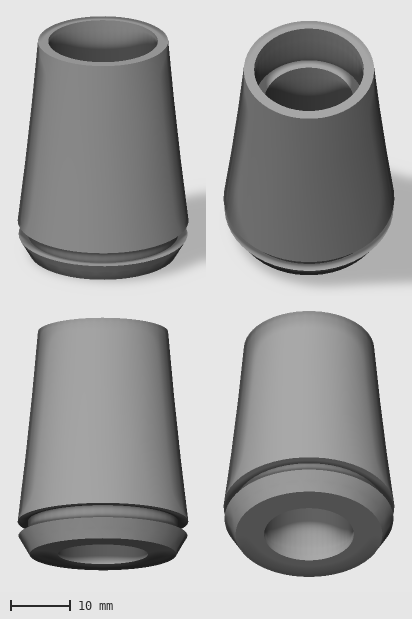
import cadquery as cq
import math

total_height = 38.0
flange_height = 3.2
groove_width = 2.4
counterbore_depth = 8.0

body_base_diameter = 28.5
body_top_diameter = 21.75
flange_diameter = 28.2
groove_diameter = 25.1
counterbore_diameter = 18.3
bore_diameter = 15.0

flange_chamfer_angle = 30.0
body_side_bow = 0.17

body_base_z = flange_height + groove_width


def make_outer_body():
    """Revolved outer shape: chamfered flange, groove and hollow-sided taper."""
    flange_radius = flange_diameter / 2
    groove_radius = groove_diameter / 2
    base_radius = body_base_diameter / 2
    top_radius = body_top_diameter / 2
    chamfer_width = flange_height * math.tan(math.radians(flange_chamfer_angle))
    side_mid_radius = (base_radius + top_radius) / 2 - body_side_bow
    side_mid_z = (body_base_z + total_height) / 2

    profile = (
        cq.Workplane("XZ")
        .moveTo(0, 0)
        .lineTo(flange_radius - chamfer_width, 0)
        .lineTo(flange_radius, flange_height)
        .lineTo(groove_radius, flange_height)
        .lineTo(groove_radius, body_base_z)
        .lineTo(base_radius, body_base_z)
        .threePointArc((side_mid_radius, side_mid_z), (top_radius, total_height))
        .lineTo(0, total_height)
        .close()
    )
    return profile.revolve(360, (0, 0, 0), (0, 1, 0))


def cut_stepped_bore(body):
    """Through bore with a wider counterbore entering from the top face."""
    return body.faces(">Z").workplane().cboreHole(
        bore_diameter, counterbore_diameter, counterbore_depth
    )


result = cut_stepped_bore(make_outer_body())